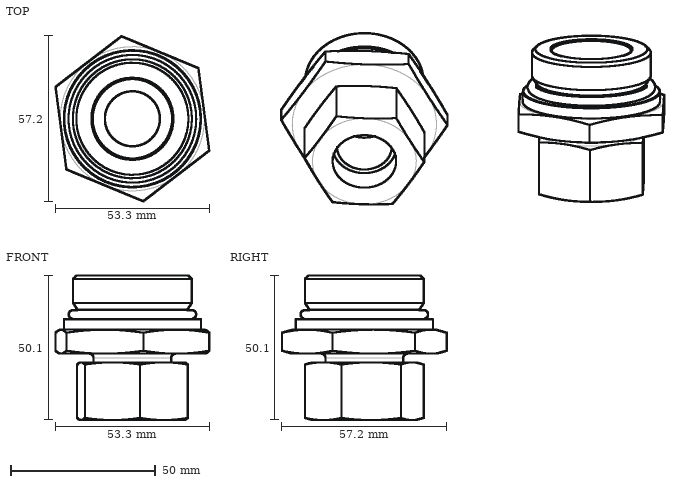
import cadquery as cq
import math


HEX_TURN = 7.5
HEX_CHAMFER_ANGLE = 15.0
COLLAR_FLATS = 50.0
NUT_FLATS = 36.0

TOP_Z = 50.1
STUD_LENGTH = 15.0
FLANGE_HEIGHT = 3.8
COLLAR_HEIGHT = 8.3
NUT_HEIGHT = 20.0
TAIL_DEPTH = 11.0
FLANGE_TOP_Z = TOP_Z - STUD_LENGTH
COLLAR_TOP_Z = FLANGE_TOP_Z - FLANGE_HEIGHT
COLLAR_BOTTOM_Z = COLLAR_TOP_Z - COLLAR_HEIGHT
TAIL_Z = NUT_HEIGHT - TAIL_DEPTH

STUD_R = 41.27 / 2
STUD_CHAMFER = 1.2
GROOVE_R = 38.28 / 2
GROOVE_TAPER = 2.3
O_RING_SECTION_R = 1.5
O_RING_CLEARANCE = 0.2
GROOVE_FLOOR_TOP_Z = FLANGE_TOP_Z + 2 * O_RING_SECTION_R + O_RING_CLEARANCE
STUD_TAPER_Z = GROOVE_FLOOR_TOP_Z + GROOVE_TAPER
FLANGE_R = 47.6 / 2
FLANGE_CHAMFER = 0.2

NECK_R = 27.0 / 2
NECK_FILLET = (30.0 - 27.0) / 2

THROUGH_R = 19.0 / 2
SOCKET_R = 27.5 / 2
SOCKET_DEPTH = 19.0
SOCKET_CHAMFER = 0.5
SOCKET_CONE_ANGLE = 30.0
NUT_HOLE_R = 22.0 / 2


def revolved(radius_z_points):
    """Solid of revolution about Z from (radius, z) points."""
    return (
        cq.Workplane("XZ")
        .polyline(radius_z_points)
        .close()
        .revolve(360, (0, 0), (0, 1))
    )


def hexagon(flats, bottom_z, height):
    """Hexagonal prism whose corners are cut by a cone at both ends."""
    corner_r = flats / math.sqrt(3)
    flat_r = flats / 2
    chamfer_drop = (corner_r - flat_r) * math.tan(math.radians(HEX_CHAMFER_ANGLE))
    top_z = bottom_z + height
    prism = (
        cq.Workplane("XY", origin=(0, 0, bottom_z))
        .polygon(6, 2 * corner_r)
        .extrude(height)
        .rotate((0, 0, 0), (0, 0, 1), 90 + HEX_TURN)
    )
    chamfer_cone = revolved([
        (0, bottom_z),
        (flat_r, bottom_z),
        (corner_r, bottom_z + chamfer_drop),
        (corner_r, top_z - chamfer_drop),
        (flat_r, top_z),
        (0, top_z),
    ])
    return prism.intersect(chamfer_cone)


def stud_and_flange():
    return revolved([
        (0, COLLAR_TOP_Z),
        (FLANGE_R, COLLAR_TOP_Z),
        (FLANGE_R, FLANGE_TOP_Z - FLANGE_CHAMFER),
        (FLANGE_R - FLANGE_CHAMFER, FLANGE_TOP_Z),
        (GROOVE_R, FLANGE_TOP_Z),
        (GROOVE_R, GROOVE_FLOOR_TOP_Z),
        (STUD_R, STUD_TAPER_Z),
        (STUD_R, TOP_Z - STUD_CHAMFER),
        (STUD_R - STUD_CHAMFER, TOP_Z),
        (0, TOP_Z),
    ])


def neck_and_tail():
    """Cylinder below the collar, joined to it by a fillet."""
    fillet_start_z = COLLAR_BOTTOM_Z - NECK_FILLET
    fillet_mid = NECK_FILLET * math.sqrt(0.5)
    return (
        cq.Workplane("XZ")
        .moveTo(0, TAIL_Z)
        .lineTo(NECK_R, TAIL_Z)
        .lineTo(NECK_R, fillet_start_z)
        .threePointArc(
            (NECK_R + NECK_FILLET - fillet_mid, fillet_start_z + fillet_mid),
            (NECK_R + NECK_FILLET, COLLAR_BOTTOM_Z),
        )
        .lineTo(0, COLLAR_BOTTOM_Z)
        .close()
        .revolve(360, (0, 0), (0, 1))
    )


def body_bore():
    """Wide socket from the top, narrowed by a cone to the through bore."""
    socket_z = TOP_Z - SOCKET_DEPTH
    cone_height = (SOCKET_R - THROUGH_R) * math.tan(math.radians(SOCKET_CONE_ANGLE))
    return revolved([
        (0, TAIL_Z),
        (THROUGH_R, TAIL_Z),
        (THROUGH_R, socket_z - cone_height),
        (SOCKET_R, socket_z),
        (SOCKET_R, TOP_Z - SOCKET_CHAMFER),
        (SOCKET_R + SOCKET_CHAMFER, TOP_Z),
        (0, TOP_Z),
    ])


def make_body():
    collar = hexagon(COLLAR_FLATS, COLLAR_BOTTOM_Z, COLLAR_HEIGHT)
    outside = collar.union(stud_and_flange()).union(neck_and_tail())
    return outside.cut(body_bore())


def make_o_ring():
    """Ring lying on the flange and touching the groove floor."""
    ring_r = GROOVE_R + O_RING_SECTION_R
    return (
        cq.Workplane("XZ")
        .center(ring_r, FLANGE_TOP_Z + O_RING_SECTION_R)
        .circle(O_RING_SECTION_R)
        .revolve(360, (-ring_r, 0), (-ring_r, 1))
    )


def make_nut():
    """Hexagon nut with a recess for the body's tail and a tube hole below it."""
    tail_recess = cq.Workplane("XY", origin=(0, 0, TAIL_Z)).circle(NECK_R).extrude(TAIL_DEPTH)
    tube_hole = cq.Workplane("XY").circle(NUT_HOLE_R).extrude(TAIL_Z)
    return hexagon(NUT_FLATS, 0, NUT_HEIGHT).cut(tail_recess).cut(tube_hole)


body = make_body()
o_ring = make_o_ring()
nut = make_nut()

result = cq.Compound.makeCompound([body.val(), o_ring.val(), nut.val()])